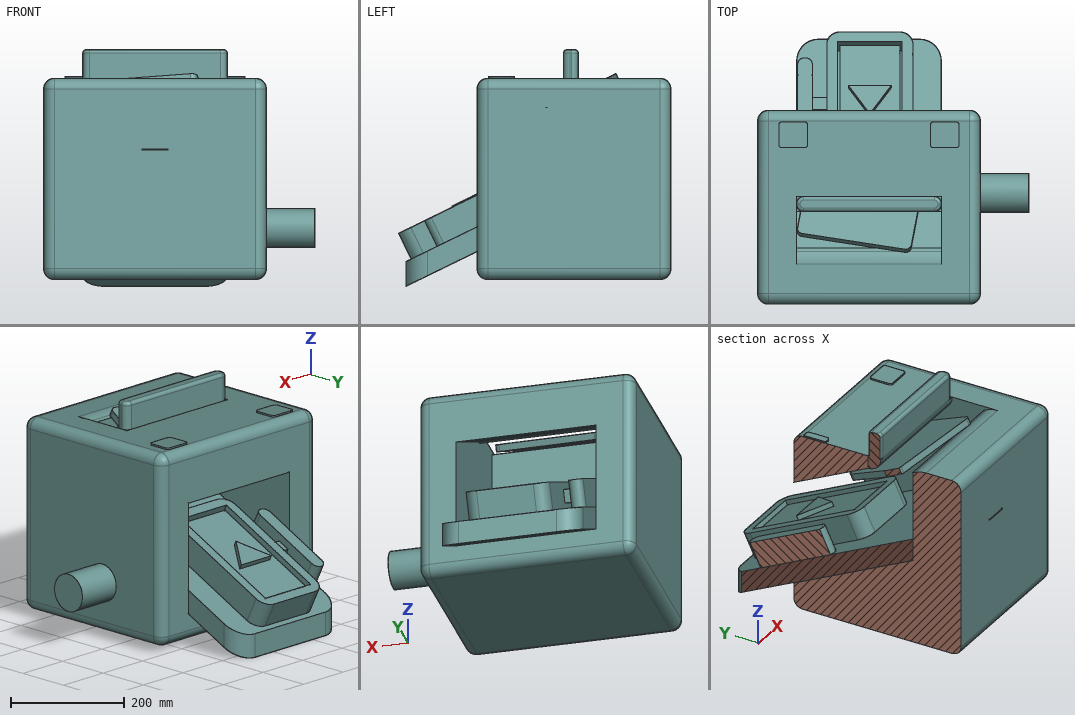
import cadquery as cq
import math

HOUSING_WIDTH = 394.0
HOUSING_DEPTH = 343.0
HOUSING_HEIGHT = 356.0
HOUSING_FILLET = 19.5
BACK_Y = HOUSING_DEPTH / 2

SLOPE_DEG = 26.0
SIN = math.sin(math.radians(SLOPE_DEG))
COS = math.cos(math.radians(SLOPE_DEG))
TAN = SIN / COS
DIAGONAL = math.sqrt(0.5)

PASSAGE_WIDTH = 255.7
WINDOW_FRONT_Y = -100.0
WINDOW_BACK_Y = 19.0
ENTRY_ARC_RUN = 22.0
ENTRY_LIP_RUN = 6.0
PASSAGE_FRONT_Y = WINDOW_FRONT_Y + ENTRY_ARC_RUN + ENTRY_LIP_RUN

SLOT_WIDTH = 45.5
SLOT_HEIGHT = 2.0
SLOT_DEPTH = 5.0
SLOT_Z = 229.5

LID_THICKNESS = 26.5
LID_RISE = 50.5
LID_FOOT_HEIGHT = LID_THICKNESS
LID_EDGE_FILLET = 6.5
LID_END_RADIUS = 12.0

CHUTE_END_Y = 297.0
CHUTE_DROP = 12.0
CHUTE_HEIGHT = 44.0
CHUTE_CORNER = 38.5

DEVICE_WIDTH = 152.0
DEVICE_LENGTH = 268.7
DEVICE_THICKNESS = 50.5
DEVICE_CORNER = 24.0
DEVICE_CENTER_X = 1.5
DEVICE_END_Y = 310.0
RIM_WIDTH = 19.0
RECESS_DEPTH = 39.0
PANEL_GAP = 4.5
PANEL_DEPTH = 7.0
ARROW_WIDTH = 76.0
ARROW_LENGTH = 56.0
ARROW_HEIGHT = 9.0
HANDLE_WIDTH = 26.0
HANDLE_LENGTH = 166.5
HANDLE_GAP = 25.5
BRIDGE_SIZE = 24.0

CARD_WIDTH = 204.0
CARD_LENGTH = 128.5
CARD_THICKNESS = 12.5
CARD_CORNER = 10.0
CARD_TWIST_DEG = 9.7
CARD_TIP_X = 63.0
CARD_TIP_Y = -74.0
CARD_TIP_RISE = 8.0

BUTTON_WIDTH = 51.0
BUTTON_LENGTH = 45.5
BUTTON_HEIGHT = 3.0
BUTTON_CORNER = 5.5
BUTTON_X = 134.0
BUTTON_Y = 128.0

PIPE_DIAMETER = 69.0
PIPE_LENGTH = 85.5
PIPE_Y = 25.5
PIPE_Z = 91.5


def chute_bottom_z(y):
    """Height of the chute underside at a given Y."""
    return -CHUTE_DROP + (CHUTE_END_Y - y) * TAN


def slope_plane(x, y, z):
    """Plane tilted with the slope: local +Y runs down the slope, local +Z rises from it."""
    return cq.Plane(origin=(x, y, z), xDir=(1, 0, 0), normal=(0, SIN, COS))


def extrude_across(profile, width):
    """Extrude a YZ profile symmetrically about X = 0."""
    return profile.extrude(width / 2, both=True)


def make_passage():
    """Cutter for the window, its rounded front edge and the sloping way out of the back."""
    arc_radius = ENTRY_ARC_RUN / SIN
    half_angle = math.radians(SLOPE_DEG / 2)
    arc_mid_y = WINDOW_FRONT_Y + arc_radius * math.sin(half_angle)
    arc_mid_z = HOUSING_HEIGHT - arc_radius * (1 - math.cos(half_angle))
    arc_end_y = WINDOW_FRONT_Y + ENTRY_ARC_RUN
    arc_end_z = HOUSING_HEIGHT - arc_radius * (1 - COS)
    ceiling_z = HOUSING_HEIGHT - LID_FOOT_HEIGHT
    profile = (
        cq.Workplane("YZ")
        .moveTo(WINDOW_FRONT_Y, HOUSING_HEIGHT)
        .threePointArc((arc_mid_y, arc_mid_z), (arc_end_y, arc_end_z))
        .lineTo(PASSAGE_FRONT_Y, arc_end_z - ENTRY_LIP_RUN * TAN)
        .lineTo(PASSAGE_FRONT_Y, chute_bottom_z(PASSAGE_FRONT_Y))
        .lineTo(BACK_Y, chute_bottom_z(BACK_Y))
        .lineTo(BACK_Y, ceiling_z - (BACK_Y - WINDOW_BACK_Y) * TAN)
        .lineTo(WINDOW_BACK_Y, ceiling_z)
        .lineTo(WINDOW_BACK_Y, HOUSING_HEIGHT)
        .close()
    )
    return extrude_across(profile, PASSAGE_WIDTH)


def make_slot():
    """Cutter for the fine horizontal slot in the front face."""
    return cq.Workplane("XY").box(SLOT_WIDTH, 2 * SLOT_DEPTH, SLOT_HEIGHT).translate(
        (0, -HOUSING_DEPTH / 2, SLOT_Z)
    )


def make_housing():
    block = (
        cq.Workplane("XY")
        .box(HOUSING_WIDTH, HOUSING_DEPTH, HOUSING_HEIGHT, centered=(True, True, False))
        .edges()
        .fillet(HOUSING_FILLET)
    )
    return block.cut(make_passage()).cut(make_slot())


def make_lid():
    """Upright plate with rounded ends on a quarter-round foot that fills the back of the window."""
    center_y = WINDOW_BACK_Y - LID_THICKNESS / 2
    plate = (
        cq.Workplane("XY", origin=(0, center_y, HOUSING_HEIGHT))
        .rect(PASSAGE_WIDTH, LID_THICKNESS)
        .extrude(LID_RISE)
        .edges("|Z")
        .fillet(LID_END_RADIUS)
        .faces(">Z")
        .edges()
        .fillet(LID_EDGE_FILLET)
    )
    foot_profile = (
        cq.Workplane("YZ")
        .moveTo(WINDOW_BACK_Y - LID_THICKNESS, HOUSING_HEIGHT)
        .lineTo(WINDOW_BACK_Y, HOUSING_HEIGHT)
        .lineTo(WINDOW_BACK_Y, HOUSING_HEIGHT - LID_FOOT_HEIGHT)
        .threePointArc(
            (WINDOW_BACK_Y - LID_FOOT_HEIGHT * DIAGONAL, HOUSING_HEIGHT - LID_FOOT_HEIGHT * DIAGONAL),
            (WINDOW_BACK_Y - LID_THICKNESS, HOUSING_HEIGHT),
        )
        .close()
    )
    return plate.union(extrude_across(foot_profile, PASSAGE_WIDTH))


def make_chute():
    """Sloped slab cut upright to its outline, with two rounded corners at the outlet."""
    inner_z = chute_bottom_z(PASSAGE_FRONT_Y)
    profile = (
        cq.Workplane("YZ")
        .moveTo(PASSAGE_FRONT_Y, inner_z)
        .lineTo(CHUTE_END_Y, -CHUTE_DROP)
        .lineTo(CHUTE_END_Y, -CHUTE_DROP + CHUTE_HEIGHT)
        .lineTo(PASSAGE_FRONT_Y, inner_z + CHUTE_HEIGHT)
        .close()
    )
    return extrude_across(profile, PASSAGE_WIDTH).edges("|Z and >Y").fillet(CHUTE_CORNER)


def make_device():
    """Framed body with a sunken panel and raised arrow, and a handle along its -X side."""
    chute_top_z = chute_bottom_z(DEVICE_END_Y) + CHUTE_HEIGHT
    end_distance = DEVICE_LENGTH / 2 + DEVICE_THICKNESS * TAN
    base = slope_plane(
        DEVICE_CENTER_X, DEVICE_END_Y - end_distance * COS, chute_top_z + end_distance * SIN
    )
    plane = cq.Workplane(base)

    def layer(height):
        return plane.workplane(offset=height)

    opening_width = DEVICE_WIDTH - 2 * RIM_WIDTH
    opening_length = DEVICE_LENGTH - 2 * RIM_WIDTH
    floor_height = DEVICE_THICKNESS - RECESS_DEPTH
    panel_height = DEVICE_THICKNESS - PANEL_DEPTH

    body = plane.rect(DEVICE_WIDTH, DEVICE_LENGTH).extrude(DEVICE_THICKNESS)
    body = body.edges(cq.selectors.ParallelDirSelector(base.zDir)).fillet(DEVICE_CORNER)
    recess = layer(floor_height).rect(opening_width, opening_length).extrude(RECESS_DEPTH)
    panel = (
        layer(floor_height)
        .rect(opening_width - 2 * PANEL_GAP, opening_length - 2 * PANEL_GAP)
        .extrude(RECESS_DEPTH - PANEL_DEPTH)
    )
    arrow = (
        layer(panel_height)
        .moveTo(-ARROW_WIDTH / 2, ARROW_LENGTH / 2)
        .lineTo(ARROW_WIDTH / 2, ARROW_LENGTH / 2)
        .lineTo(0, -ARROW_LENGTH / 2)
        .close()
        .extrude(ARROW_HEIGHT)
    )

    handle_x = -(DEVICE_WIDTH / 2 + HANDLE_GAP + HANDLE_WIDTH / 2)
    handle = (
        plane.center(handle_x, 0)
        .slot2D(HANDLE_LENGTH, HANDLE_WIDTH, 90)
        .extrude(DEVICE_THICKNESS)
    )
    bridge = (
        layer((DEVICE_THICKNESS - BRIDGE_SIZE) / 2)
        .center(-(DEVICE_WIDTH + HANDLE_GAP) / 2, 0)
        .rect(HANDLE_GAP, BRIDGE_SIZE)
        .extrude(BRIDGE_SIZE)
    )
    return body.cut(recess).union(panel).union(arrow).union(bridge).union(handle)


def make_card():
    """Rounded card on the slope, twisted so that its +X front corner peeks over the housing."""
    tip = slope_plane(CARD_TIP_X, CARD_TIP_Y, HOUSING_HEIGHT + CARD_TIP_RISE)
    return (
        cq.Workplane(tip)
        .transformed(rotate=(0, 0, -CARD_TWIST_DEG))
        .center(CARD_CORNER - CARD_WIDTH / 2, CARD_LENGTH / 2)
        .sketch()
        .rect(CARD_WIDTH, CARD_LENGTH)
        .vertices()
        .fillet(CARD_CORNER)
        .finalize()
        .extrude(-CARD_THICKNESS)
    )


def make_button(x):
    return (
        cq.Workplane("XY", origin=(x, BUTTON_Y, HOUSING_HEIGHT))
        .rect(BUTTON_WIDTH, BUTTON_LENGTH)
        .extrude(BUTTON_HEIGHT)
        .edges("|Z")
        .fillet(BUTTON_CORNER)
    )


def make_pipe():
    return (
        cq.Workplane("YZ", origin=(HOUSING_WIDTH / 2, PIPE_Y, PIPE_Z))
        .circle(PIPE_DIAMETER / 2)
        .extrude(PIPE_LENGTH)
    )


housing = make_housing()
lid = make_lid()
chute = make_chute()
device = make_device()
card = make_card()
buttons = [make_button(side * BUTTON_X) for side in (-1, 1)]
pipe = make_pipe()

result = cq.Compound.makeCompound(
    [
        housing.val(),
        lid.val(),
        chute.val(),
        device.val(),
        card.val(),
        *[button.val() for button in buttons],
        pipe.val(),
    ]
)